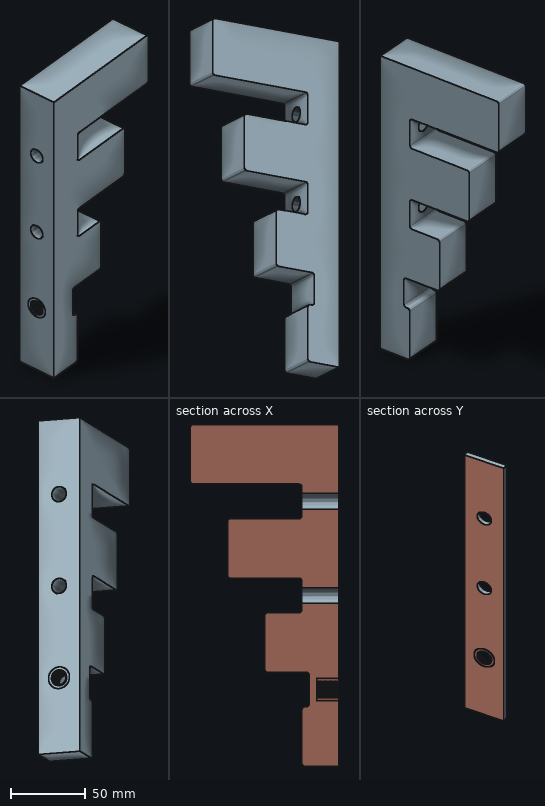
import cadquery as cq

width = 30.0
height = 230.0
longest_arm = 100.0
arm_count = 4
arm_step = longest_arm / arm_count
arm_height = 40.2
arm_pitch = (height - arm_height) / (arm_count - 1)
gap_height = arm_pitch - arm_height
spine_depth = arm_step
thin_spine_depth = 20.0
corner_fillet = 2.0

hole_diameter = 10.4
insert_diameter = 15.0

thread_minor_diameter = 9.7
thread_major_diameter = 10.8
thread_pitch = 1.0
thread_turns = 16
insert_length = thread_turns * thread_pitch


def gap_centre(index):
    """Height of the middle of a gap, counted from the bottom."""
    return index * arm_pitch + arm_height + gap_height / 2


def box(depth, bottom, box_height):
    """Full-width block standing on the front plane."""
    return (
        cq.Workplane("XY", origin=(0, 0, bottom))
        .box(width, depth, box_height, centered=(True, False, False))
    )


def y_cylinder(diameter, length, z):
    """Cylinder running from the front plane toward +Y."""
    return cq.Workplane("XZ", origin=(0, 0, z)).circle(diameter / 2).extrude(-length)


def make_bracket():
    body = box(spine_depth, 0, height)
    body = body.cut(box(spine_depth, arm_height, gap_height).translate((0, thin_spine_depth, 0)))
    for index in range(1, arm_count):
        body = body.union(box((index + 1) * arm_step, index * arm_pitch, arm_height))

    for index in range(arm_count - 1):
        root_depth = thin_spine_depth if index == 0 else spine_depth
        for z in (index * arm_pitch + arm_height, (index + 1) * arm_pitch):
            corner = cq.selectors.NearestToPointSelector((0, root_depth, z))
            body = body.edges("|X").edges(corner).fillet(corner_fillet)

    for index in range(arm_count):
        for z in (index * arm_pitch, index * arm_pitch + arm_height):
            corner = cq.selectors.NearestToPointSelector((0, (index + 1) * arm_step, z))
            body = body.edges("|X").edges(corner).fillet(corner_fillet)

    for index in range(1, arm_count - 1):
        body = body.cut(y_cylinder(hole_diameter, spine_depth, gap_centre(index)))

    return body.cut(y_cylinder(insert_diameter, insert_length, gap_centre(0)))


def make_threaded_insert():
    z = gap_centre(0)
    minor_radius = thread_minor_diameter / 2
    major_radius = thread_major_diameter / 2

    profile = [(0, 0), (major_radius, 0)]
    for turn in range(thread_turns):
        start = turn * thread_pitch
        profile.append((minor_radius, start + thread_pitch / 2))
        profile.append((major_radius, start + thread_pitch))
    profile.append((0, insert_length))
    bore = cq.Workplane("XY", origin=(0, 0, z)).polyline(profile).close().revolve(360, (0, 0), (0, 1))
    return y_cylinder(insert_diameter, insert_length, z).cut(bore)


bracket = make_bracket()
threaded_insert = make_threaded_insert()

result = cq.Compound.makeCompound([bracket.val(), threaded_insert.val()])